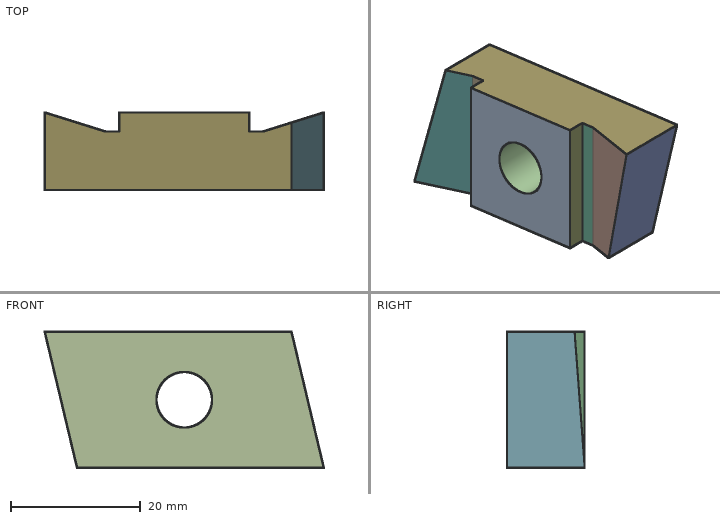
import cadquery as cq

length = 43.0
depth = 12.0
height = 21.0

end_lean = 5.0
bore_diameter = 8.5
rib_width = 20.1
recess_depth = 2.92
ramp_length = 9.35

half_length = length / 2
half_height = height / 2
half_rib = rib_width / 2
ramp_foot = half_length - ramp_length
floor_y = depth - recess_depth


def back_profile_prism():
    """Vertical prism with a central rib and a ramp rising to each end."""
    return (
        cq.Workplane("XY")
        .workplane(offset=-half_height)
        .moveTo(-half_length, 0)
        .lineTo(half_length, 0)
        .lineTo(half_length, depth)
        .lineTo(ramp_foot, floor_y)
        .lineTo(half_rib, floor_y)
        .lineTo(half_rib, depth)
        .lineTo(-half_rib, depth)
        .lineTo(-half_rib, floor_y)
        .lineTo(-ramp_foot, floor_y)
        .lineTo(-half_length, depth)
        .close()
        .extrude(height)
    )


def slanted_envelope():
    """Parallelogram block that gives both ends their lean."""
    return (
        cq.Workplane("XZ")
        .polyline([
            (-half_length, half_height),
            (half_length - end_lean, half_height),
            (half_length, -half_height),
            (-half_length + end_lean, -half_height),
        ])
        .close()
        .extrude(-depth)
    )


bore = cq.Workplane("XZ").circle(bore_diameter / 2).extrude(-depth)

result = back_profile_prism().intersect(slanted_envelope()).cut(bore)